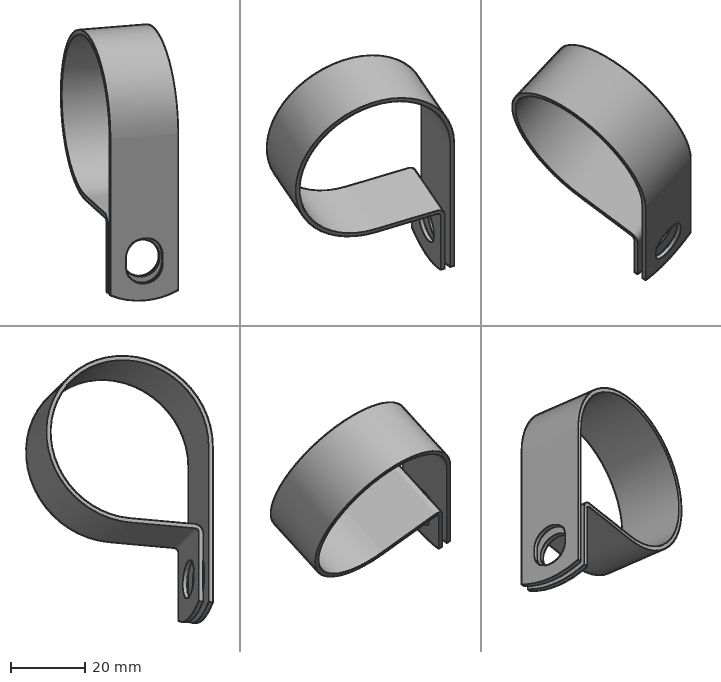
import cadquery as cq
import math

loop_outer_diameter = 46.89
strip_thickness = 1.22
strip_width = 19.05
overall_height = 69.47
leg_gap = 1.59
bend_inner_radius = 1.11
hole_diameter = 10.32
slot_length = 12.7
hole_to_tip = 11.1
tip_radius = 22.1

outer_radius = loop_outer_diameter / 2
inner_radius = outer_radius - strip_thickness
bend_outer_radius = bend_inner_radius + strip_thickness
tip_z = outer_radius - overall_height
hole_z = tip_z + hole_to_tip
short_leg_right_x = inner_radius - leg_gap
short_leg_left_x = short_leg_right_x - strip_thickness
bend_center_x = short_leg_left_x - bend_inner_radius
bend_center_z = -outer_radius - bend_inner_radius


def diagonal_point(center_x, center_z, radius, x_sign):
    """Point on a circle, 45 degrees above its center on the chosen side."""
    offset = radius * math.sqrt(0.5)
    return center_x + x_sign * offset, center_z + offset


def strap_outline():
    """Edge profile of the bent strip: long leg, three-quarter loop, shelf, bend and short leg."""
    return (
        cq.Workplane("XZ")
        .moveTo(outer_radius, tip_z)
        .lineTo(outer_radius, 0)
        .threePointArc(diagonal_point(0, 0, outer_radius, -1), (0, -outer_radius))
        .lineTo(bend_center_x, -outer_radius)
        .threePointArc(
            diagonal_point(bend_center_x, bend_center_z, bend_inner_radius, 1),
            (short_leg_left_x, bend_center_z),
        )
        .lineTo(short_leg_left_x, tip_z)
        .lineTo(short_leg_right_x, tip_z)
        .lineTo(short_leg_right_x, bend_center_z)
        .threePointArc(
            diagonal_point(bend_center_x, bend_center_z, bend_outer_radius, 1),
            (bend_center_x, -inner_radius),
        )
        .lineTo(0, -inner_radius)
        .threePointArc(diagonal_point(0, 0, inner_radius, -1), (inner_radius, 0))
        .lineTo(inner_radius, tip_z)
        .close()
    )


def tip_envelope():
    """Block along X as wide as the strip, with a shallow arc for its lower end."""
    half_width = strip_width / 2
    tip_rise = tip_radius - math.sqrt(tip_radius**2 - half_width**2)
    return (
        cq.Workplane("YZ")
        .moveTo(-half_width, outer_radius)
        .lineTo(-half_width, tip_z + tip_rise)
        .threePointArc((0, tip_z), (half_width, tip_z + tip_rise))
        .lineTo(half_width, outer_radius)
        .close()
        .extrude(outer_radius, both=True)
    )


def short_leg_hole():
    """Round hole along X through the short leg."""
    return (
        cq.Workplane("YZ", origin=(short_leg_left_x, 0, hole_z))
        .circle(hole_diameter / 2)
        .extrude(strip_thickness)
    )


def long_leg_slot():
    """Round-ended slot along X through the long leg, upright and level with the round hole."""
    return (
        cq.Workplane("YZ", origin=(inner_radius, 0, hole_z))
        .slot2D(slot_length, hole_diameter, 90)
        .extrude(strip_thickness)
    )


strap = strap_outline().extrude(strip_width / 2, both=True)
result = strap.intersect(tip_envelope()).cut(short_leg_hole()).cut(long_leg_slot())